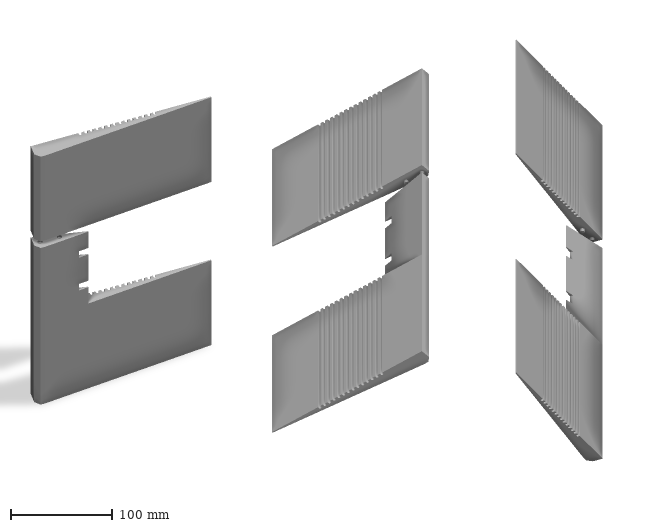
import cadquery as cq

HEIGHT = 380.0
DEPTH = 189.0
BUTT_X = 5.0
THICK_X = 21.0
BUTT_CHAMFER = 5.0
FLAT_END_Y = 10.0
PANEL_EDGE = 1.0
PANEL_HEIGHT = 130.0

BODY_GAP = 10.0
POST_DEPTH = 56.2
POST_EDGE = 0.8
NOTCH_SIZE = 10.0
NOTCH_OFFSET = 25.0

GROOVE_COUNT = 14
GROOVE_SPAN = 78.0
GROOVES_CENTER_Y = 90.5
GROOVE_WIDTH = 3.0
GROOVE_DEPTH = 3.0
GROOVE_MOUTH_X = -2.0

PIN_DIAMETER = 5.0
PIN_LENGTH = 3.0
PIN_X = 13.3
PIN_YS = (7.0, 27.0)

COVER_Z = HEIGHT - PANEL_HEIGHT
POST_TOP_Z = COVER_Z - BODY_GAP
POST_HEIGHT = POST_TOP_Z - PANEL_HEIGHT
GROOVE_PITCH = GROOVE_SPAN / (GROOVE_COUNT - 1)
FIRST_GROOVE_Y = GROOVES_CENTER_Y - GROOVE_SPAN / 2


def right_face_x(y):
    """X of the sloping right face at a given Y."""
    slope = (THICK_X - PANEL_EDGE) / (DEPTH - FLAT_END_Y)
    return THICK_X - slope * (y - FLAT_END_Y)


def wedge(depth, edge_thickness, base_z, height):
    """Upright wedge from the chamfered butt face to a thin edge at the given depth."""
    edge_x = right_face_x(depth)
    outline = [
        (BUTT_X, 0),
        (THICK_X - BUTT_CHAMFER, 0),
        (THICK_X, BUTT_CHAMFER),
        (THICK_X, FLAT_END_Y),
        (edge_x, depth),
        (edge_x - edge_thickness, depth),
    ]
    return cq.Workplane("XY", origin=(0, 0, base_z)).polyline(outline).close().extrude(height)


def grooves(base_z):
    """Cutters for the upright grooves: straight side walls ending in a half-round floor."""
    cutters = cq.Workplane("XY", origin=(0, 0, base_z))
    for index in range(GROOVE_COUNT):
        y = FIRST_GROOVE_Y + index * GROOVE_PITCH
        floor_x = BUTT_X * (1 - y / DEPTH) + GROOVE_DEPTH
        arc_start_x = floor_x - GROOVE_WIDTH / 2
        near_y = y - GROOVE_WIDTH / 2
        far_y = y + GROOVE_WIDTH / 2
        cutters = (
            cutters.moveTo(GROOVE_MOUTH_X, near_y)
            .lineTo(arc_start_x, near_y)
            .threePointArc((floor_x, y), (arc_start_x, far_y))
            .lineTo(GROOVE_MOUTH_X, far_y)
            .close()
        )
    return cutters.extrude(PANEL_HEIGHT)


def panel(base_z):
    """Wedge-shaped panel with its grooved left face."""
    return wedge(DEPTH, PANEL_EDGE, base_z, PANEL_HEIGHT).cut(grooves(base_z))


def pins(top_z):
    """Pair of round pins reaching down from top_z."""
    centers = [(PIN_X, y) for y in PIN_YS]
    plane = cq.Workplane("XY", origin=(0, 0, top_z))
    return plane.pushPoints(centers).circle(PIN_DIAMETER / 2).extrude(-PIN_LENGTH)


def post():
    """Wedge-shaped post with two notches in its thin edge and two pin holes in its top."""
    body = wedge(POST_DEPTH, POST_EDGE, PANEL_HEIGHT, POST_HEIGHT)
    notch = cq.Workplane("XY").box(THICK_X, NOTCH_SIZE, NOTCH_SIZE, centered=False)
    lower_notch_z = PANEL_HEIGHT + NOTCH_OFFSET
    upper_notch_z = POST_TOP_Z - NOTCH_OFFSET - NOTCH_SIZE
    for notch_z in (lower_notch_z, upper_notch_z):
        body = body.cut(notch.translate((0, POST_DEPTH - NOTCH_SIZE, notch_z)))
    return body.cut(pins(POST_TOP_Z))


base = panel(0).union(post())

cover = panel(COVER_Z).union(pins(COVER_Z))

result = cq.Compound.makeCompound([base.val(), cover.val()])